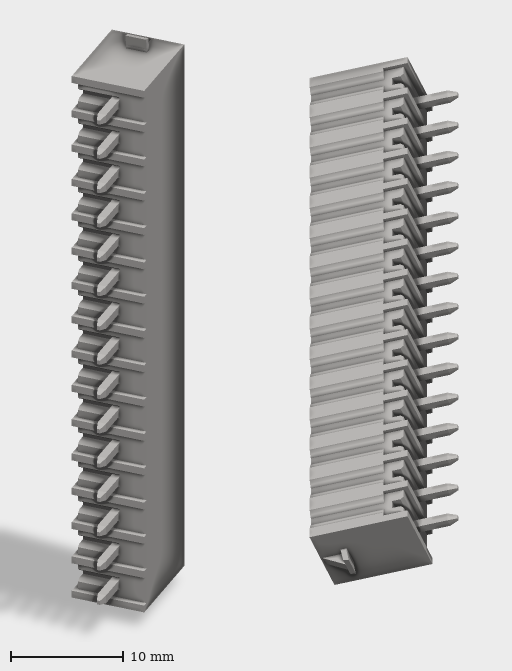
import cadquery as cq
import math

PIN_COUNT = 15
PITCH = 3.5
WIDTH = 7.0
BACK = 9.2
RIB_THICKNESS = 0.7
RIB_HEIGHT = 0.5
HEIGHT = PIN_COUNT * PITCH + RIB_THICKNESS
LEFT = -WIDTH / 2

RELIEF_DEPTH = 0.4
RECESS_TOP = 2.3
GROOVE_FLOOR_HALF = 0.35
GROOVE_MOUTH_HALF = 1.05

SLOT_ROOF = 1.6
SLOT_HALF = 0.4
SLOT_MOUTH_HALF = 0.63
SLOT_CHAMFER_DEPTH = 0.3

PIN_SIZE = 0.8
PIN_X = 0.5
PIN_LENGTH = 3.4
TAPER_LENGTH = 0.85
TIP_WIDTH = 0.3
TIP_HEIGHT = 0.4
PIN_EMBED = 0.8
SLOT_END = PIN_X + PIN_SIZE / 2

LATCH_HEIGHT = 1.4
LATCH_WIDTH = 2.0
LATCH_FRONT = BACK - 2.65
LATCH_THICKNESS = 0.57
LATCH_FOOT = 0.3
LATCH_LEAN = math.radians(10)
WEB_WIDTH = 0.8
WEB_START = BACK - 0.15

pin_heights = [(i - (PIN_COUNT - 1) / 2) * PITCH for i in range(PIN_COUNT)]


def box(x0, x1, y0, y1, z0, z1):
    return cq.Workplane("XY").box(x1 - x0, y1 - y0, z1 - z0, centered=False).translate((x0, y0, z0))


def floor_and_wall_recess(z):
    """Space between two ribs: a shallow floor step and the recess in the left wall."""
    half = (PITCH - RIB_THICKNESS) / 2
    floor = box(LEFT, -LEFT, 0, RIB_HEIGHT, z - half, z + half)
    wall = box(LEFT, LEFT + RELIEF_DEPTH, 0, RECESS_TOP, z - half, z + half)
    return floor.union(wall)


def rounded_groove(z):
    """Groove along Y whose sides are S-curves of two equal arcs."""
    arc_z = (GROOVE_MOUTH_HALF - GROOVE_FLOOR_HALF) / 2
    arc_x = RELIEF_DEPTH / 2
    radius = (arc_x**2 + arc_z**2) / (2 * arc_x)
    middle = GROOVE_FLOOR_HALF + arc_z
    floor_x = LEFT + RELIEF_DEPTH
    middle_x = LEFT + arc_x
    profile = (
        cq.Workplane("XZ")
        .moveTo(LEFT, z + GROOVE_MOUTH_HALF)
        .radiusArc((middle_x, z + middle), radius)
        .radiusArc((floor_x, z + GROOVE_FLOOR_HALF), -radius)
        .lineTo(floor_x, z - GROOVE_FLOOR_HALF)
        .radiusArc((middle_x, z - middle), -radius)
        .radiusArc((LEFT, z - GROOVE_MOUTH_HALF), radius)
        .close()
    )
    return profile.extrude(-BACK)


def pin_slot(z):
    """Slot for the pin, with its mouth chamfered at the floor."""
    chamfer_top = RIB_HEIGHT + SLOT_CHAMFER_DEPTH
    profile = cq.Workplane("YZ", origin=(LEFT, 0, z)).polyline([
        (RIB_HEIGHT, -SLOT_MOUTH_HALF),
        (chamfer_top, -SLOT_HALF),
        (SLOT_ROOF, -SLOT_HALF),
        (SLOT_ROOF, SLOT_HALF),
        (chamfer_top, SLOT_HALF),
        (RIB_HEIGHT, SLOT_MOUTH_HALF),
    ]).close()
    return profile.extrude(SLOT_END - LEFT)


def pin(z):
    """Square pin rising into the block, with a tapered tip."""
    taper_start = TAPER_LENGTH - PIN_LENGTH
    half = PIN_SIZE / 2
    shank = box(PIN_X - half, PIN_X + half, taper_start, SLOT_ROOF + PIN_EMBED, z - half, z + half)
    tip = (
        cq.Workplane("XZ", origin=(PIN_X, taper_start, z))
        .rect(PIN_SIZE, PIN_SIZE)
        .workplane(offset=TAPER_LENGTH)
        .rect(TIP_WIDTH, TIP_HEIGHT)
        .loft(ruled=True)
    )
    return shank.union(tip)


def latch():
    """Latch on the upper end, its tip overhanging towards the pins."""
    base = HEIGHT / 2
    top = base + LATCH_HEIGHT
    slope = math.tan(LATCH_LEAN)
    tip_y = LATCH_FRONT - (LATCH_HEIGHT - LATCH_FOOT) * slope
    plate_back = LATCH_FRONT + LATCH_THICKNESS
    back_corner = (plate_back - LATCH_HEIGHT * slope, top - LATCH_THICKNESS * slope)
    plate = cq.Workplane("YZ").polyline([
        (LATCH_FRONT, base),
        (LATCH_FRONT, base + LATCH_FOOT),
        (tip_y, top),
        back_corner,
        (plate_back, base),
    ]).close().extrude(LATCH_WIDTH / 2, both=True)
    web = cq.Workplane("YZ").polyline([
        (plate_back, base),
        back_corner,
        (WEB_START, base),
    ]).close().extrude(WEB_WIDTH / 2, both=True)
    return plate.union(web)


body = box(LEFT, -LEFT, 0, BACK, -HEIGHT / 2, HEIGHT / 2)
for height in pin_heights:
    body = body.cut(floor_and_wall_recess(height))
    body = body.cut(rounded_groove(height))
    body = body.cut(pin_slot(height))
for height in pin_heights:
    body = body.union(pin(height))

upper_latch = latch()
result = body.union(upper_latch).union(upper_latch.mirror("XY"))